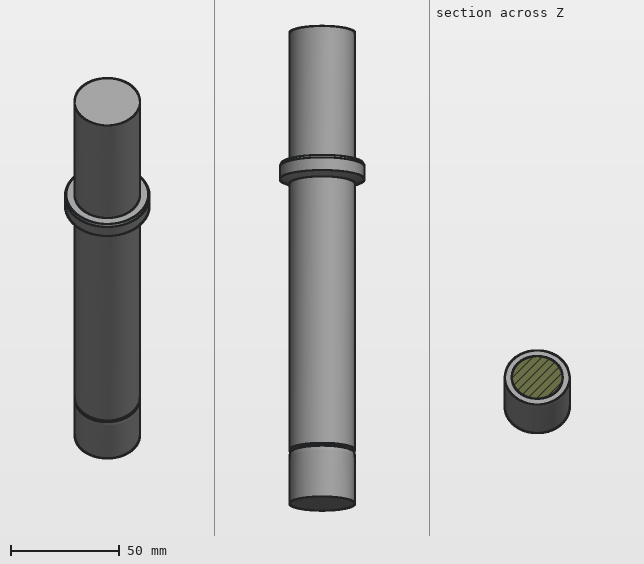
import cadquery as cq

length = 221.5
shaft_radius = 30.0 / 2

groove_radius = 23.5 / 2
groove_bottom = 24.0
groove_width = 1.3
groove_top = groove_bottom + groove_width
taper_height = 2.0
taper_depth = 0.2

collar_radius = 39.0 / 2
collar_bottom = 150.5
collar_height = 9.3
collar_top = collar_bottom + collar_height
collar_chamfer_width = 0.7
collar_chamfer_height = 1.3
cone_height = 2.0

profile = [
    (0, 0),
    (shaft_radius, 0),
    (shaft_radius, groove_bottom - taper_height),
    (shaft_radius - taper_depth, groove_bottom),
    (groove_radius, groove_bottom),
    (groove_radius, groove_top),
    (shaft_radius, groove_top),
    (shaft_radius, collar_bottom),
    (collar_radius, collar_bottom + cone_height),
    (collar_radius, collar_top - collar_chamfer_height),
    (collar_radius - collar_chamfer_width, collar_top),
    (shaft_radius, collar_top),
    (shaft_radius, length),
    (0, length),
]

result = cq.Workplane("XZ").polyline(profile).close().revolve(360, (0, 0, 0), (0, 1, 0))